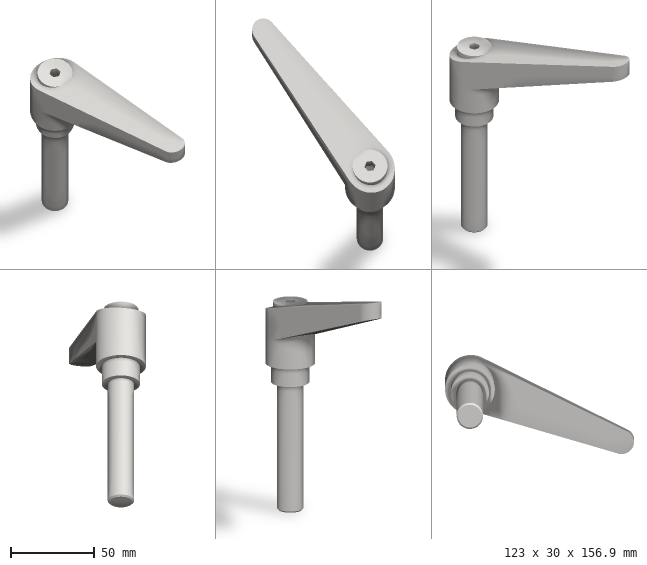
import cadquery as cq
import math

hub_radius = 15.0
hub_axis_height = 36.0
collar_diameter = 23.0
collar_length = 12.0
stud_diameter = 16.0
stud_length = 80.0
stud_chamfer = 1.0

arm_reach = 108.0
tip_radius = 7.0
top_slope = math.radians(15.0)
underside_slope = math.radians(20.0)
underside_axis_height = 15.4

cap_diameter = 21.0
cap_top = 38.6
hex_across_flats = 6.0
hex_depth = 8.0
drill_point_half_angle = math.radians(60.0)

tip_center = arm_reach - tip_radius


def cylinder(diameter, bottom, top):
    """Cylinder on the stud axis between two heights."""
    return cq.Workplane("XY").workplane(offset=bottom).circle(diameter / 2).extrude(top - bottom)


def arm_plan(height):
    """Arm outline extruded up: tapered flanks tangent to the hub and to the round tip."""
    taper = math.asin((hub_radius - tip_radius) / tip_center)
    hub_x = hub_radius * math.sin(taper)
    hub_y = hub_radius * math.cos(taper)
    end_x = tip_center + tip_radius * math.sin(taper)
    end_y = tip_radius * math.cos(taper)
    return (
        cq.Workplane("XY")
        .moveTo(hub_x, -hub_y)
        .lineTo(end_x, -end_y)
        .threePointArc((arm_reach, 0), (end_x, end_y))
        .lineTo(hub_x, hub_y)
        .threePointArc((-hub_radius, 0), (hub_x, -hub_y))
        .close()
        .extrude(height)
    )


def sloped_slab(left, right, bottom_line, top_line):
    """Slab wider than the hub, between two sloping lines seen along Y."""
    corners = [
        (left, bottom_line(left)),
        (right, bottom_line(right)),
        (right, top_line(right)),
        (left, top_line(left)),
    ]
    return cq.Workplane("XZ").polyline(corners).close().extrude(2 * hub_radius, both=True)


def top_height(x):
    """Height of the sloping top face."""
    return hub_axis_height + x * math.tan(top_slope)


def underside_height(x):
    """Height of the arm's sloping underside."""
    return underside_axis_height + x * math.tan(underside_slope)


def make_lever():
    """Hub and arm, both trimmed by the same sloping top face."""
    blank_height = top_height(arm_reach)
    arm_slab = sloped_slab(0, arm_reach, underside_height, top_height)
    arm = arm_plan(blank_height).intersect(arm_slab)
    hub_slab = sloped_slab(-hub_radius, hub_radius, lambda x: 0, top_height)
    hub = cylinder(2 * hub_radius, 0, blank_height).intersect(hub_slab)
    return hub.union(arm)


def make_stud():
    """Collar below the hub and the stud with its chamfered end."""
    collar = cylinder(collar_diameter, -collar_length, 0)
    stud = cylinder(stud_diameter, -collar_length - stud_length, -collar_length)
    return collar.union(stud.faces("<Z").chamfer(stud_chamfer))


def make_hex_socket():
    """Hexagon socket with two corners on the X axis and a conical drilled bottom."""
    corner_radius = hex_across_flats / 2 / math.cos(math.pi / 6)
    corner_bottom = cap_top - hex_depth
    point = corner_bottom - corner_radius / math.tan(drill_point_half_angle)
    hexagon = (
        cq.Workplane("XY")
        .workplane(offset=point)
        .polygon(6, 2 * corner_radius)
        .extrude(cap_top - point)
    )
    drill = (
        cq.Workplane("XZ")
        .moveTo(0, point)
        .lineTo(corner_radius, corner_bottom)
        .lineTo(corner_radius, cap_top)
        .lineTo(0, cap_top)
        .close()
        .revolve(360, (0, 0), (0, 1))
    )
    return hexagon.intersect(drill)


cap = cylinder(cap_diameter, 0, cap_top)
result = make_lever().union(make_stud()).union(cap).cut(make_hex_socket())